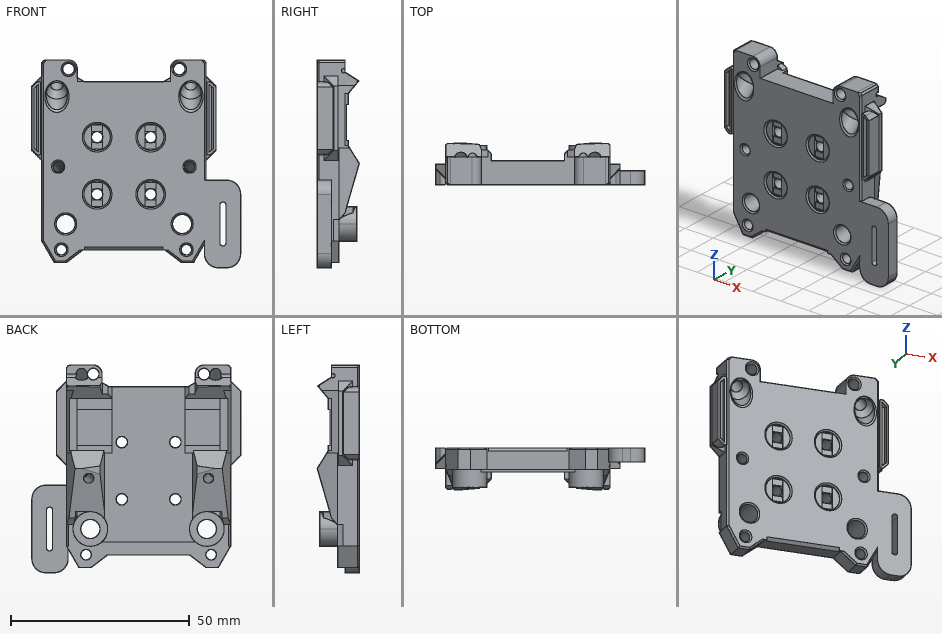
import cadquery as cq
import math


half_width = 23.0
top_z = 29.66
notch_half_width = 13.0
notch_z = 23.57
shoulder_z = -21.05
leg_end_z = -27.13
leg_outer_x = 19.5
leg_inner_x = 16.1
bridge_half_width = 11.5
bridge_z = -23.6
bridge_chamfer = 0.9
tower_round = 2.6
corner_steps = ((21.7, top_z), (22.5, top_z - 0.2), (half_width, top_z - 0.8))
edge_chamfer = 0.5
leg_depth = 6.1
middle_depth = 6.8
middle_half_width = 15.0
middle_bottom_z = -20.0
tower_depth = 7.8
tower_bottom_z = 20.0
relief_radius = 0.6
relief_y = 7.4
relief_z = 26.6
relief_end_x = 18.0

rail_inner_x = 10.2
rail_step_x = 20.0
rail_depth = 8.25
pad_depth = 8.7
rail_bottom_z = 4.9
rail_top_z = 22.4
lower_pad_top_z = 7.1
upper_pad_bottom_z = 17.08
peak_y = 11.8
hook_root_y = 8.0
hook_root_z = 26.06
hook_foot_z = 20.2
hook_peak_y = 11.65
hook_peak_z = 23.74
hook_edge_chamfer = 0.5
inner_ridge_x = 13.6
inner_ridge_y = 11.35
inner_foot_x = 12.3
inner_foot_y = 8.2
web_z = 24.65
web_end_x = 11.1
web_y = 9.8
hump_outer_x = 20.6
hump_flat_x = 18.7
hump_start_z = 5.6
hump_peak_z = 0.62
hump_end_z = -13.2
taper_start_y = 6.15
leg_taper_start_y = 4.6
leg_taper_top_z = -15.1

boss_radius = 4.85
boss_web_foot_x = 21.0
boss_web_shoulder_x = 20.0
boss_web_shoulder_y = 10.0
boss_depth = 11.08
lower_hole_x = 16.3
lower_hole_z = -16.3
lower_hole_diameter = 5.3

hole_chamfer = 0.45
upper_corner_diameter = 3.2
lower_corner_diameter = 2.9
upper_corner_hole = (15.5, 27.06)
lower_corner_hole = (17.5, -23.5)
grid_x = 7.5
grid_z = 8.0
grid_bore_diameter = 7.4
grid_bore_depth = 0.6
grid_hole_diameter = 3.1
trap_step = 0.4
slant_hole_x = 18.4
slant_hole_z = -0.25
slant_hole_diameter = 2.8
slant_hole_direction = (-1.5, 10.0, -1.7)
slant_hole_lead = 0.2
screw_x = 18.75
screw_z = 19.37
screw_angle = 42.0
screw_bore_diameter = 6.0
screw_hole_diameter = 3.4
screw_bore_depth = 2.3
screw_cone_length = 2.3
screw_mouth_chamfer = 0.4
screw_overrun = 6.0

tab_inner_x = 22.5
tab_outer_x = 32.72
tab_half_height = 12.3
tab_depth = 4.0
tab_round = 4.0
tab_slot_x = 27.73
tab_slot_width = 1.64
tab_slot_length = 12.24

wing_x = 25.8
wing_reach = wing_x - half_width
wing_z = 13.28
gusset_half_height = 11.78
gusset_depth = 5.85
gusset_root_y = 1.85
strip_outer_half_height = 8.7
strip_bevel_x = 24.6
strip_clearance = 0.2
strip_chamfer = 0.3
groove_outer_x = 25.15
groove_inner_x = 23.85
groove_mid_x = (groove_outer_x + groove_inner_x) / 2
groove_wall_depth = 1.3
groove_outer_half = 8.4
groove_inner_half = 9.5

through = 40.0


def prism_y(points, y0, y1):
    """Polygon in X and Z, extruded from y0 to y1."""
    return cq.Workplane("XZ", origin=(0, y0, 0)).polyline(points).close().extrude(y0 - y1)


def prism_z(points, z0, z1):
    """Polygon in X and Y, extruded from z0 to z1."""
    return cq.Workplane("XY", origin=(0, 0, z0)).polyline(points).close().extrude(z1 - z0)


def prism_x(points, x0, x1):
    """Polygon in Y and Z, extruded from x0 to x1."""
    return cq.Workplane("YZ", origin=(x0, 0, 0)).polyline(points).close().extrude(x1 - x0)


def block(x0, x1, y0, y1, z0, z1):
    return cq.Workplane("XY").box(x1 - x0, y1 - y0, z1 - z0, centered=False).translate((x0, y0, z0))


def round_bar(x, z, radius, y0, y1):
    return cq.Workplane("XZ", origin=(x, y0, z)).circle(radius).extrude(y0 - y1)


def hole_mouth(x, z, radius):
    """Cone that chamfers the front edge of a hole."""
    start = cq.Vector(x, 0, z)
    return cq.Workplane(
        cq.Solid.makeCone(radius + hole_chamfer, radius, hole_chamfer, start, cq.Vector(0, 1, 0))
    )


def chamfered_hole(x, z, diameter):
    """Through hole along Y with a chamfered mouth on the front face."""
    return round_bar(x, z, diameter / 2, 0, through).union(hole_mouth(x, z, diameter / 2))


def mirrored(body):
    return body.mirror("YZ")


def both_sides(body):
    return body.union(mirrored(body))


def make_plate():
    half = (
        cq.Workplane("XZ")
        .moveTo(0, notch_z)
        .lineTo(notch_half_width, notch_z)
        .lineTo(notch_half_width, top_z - tower_round)
        .radiusArc((notch_half_width + tower_round, top_z), tower_round)
    )
    for point in corner_steps:
        half = half.lineTo(*point)
    half = (
        half.lineTo(half_width, shoulder_z)
        .lineTo(leg_outer_x, leg_end_z)
        .lineTo(leg_inner_x, leg_end_z)
        .lineTo(bridge_half_width, bridge_z)
        .lineTo(0, bridge_z)
        .close()
        .extrude(-leg_depth)
    )
    plate = both_sides(half).clean()

    def is_outer_edge(edge):
        centre = edge.Center()
        on_side = abs(centre.x) > half_width - edge_chamfer
        on_leg = abs(centre.x) > bridge_half_width and centre.z < shoulder_z
        return on_side or on_leg

    plate = plate.faces("<Y").edges().filter(is_outer_edge).chamfer(edge_chamfer)
    bevel = [(0, bridge_z), (0, bridge_z + bridge_chamfer), (bridge_chamfer, bridge_z)]
    bevel_half_width = bridge_half_width - edge_chamfer
    plate = plate.cut(prism_x(bevel, -bevel_half_width, bevel_half_width))
    return plate.union(
        block(-middle_half_width, middle_half_width, 0, middle_depth, middle_bottom_z, notch_z)
        .edges("|X and <Y and <Z")
        .chamfer(edge_chamfer)
    )


def make_tower_back():
    """Thickens each tower up to its full depth, following the plate outline."""
    return (
        cq.Workplane("XZ", origin=(0, leg_depth, 0))
        .moveTo(notch_half_width, tower_bottom_z)
        .lineTo(notch_half_width, top_z - tower_round)
        .radiusArc((notch_half_width + tower_round, top_z), tower_round)
        .polyline(corner_steps, includeCurrent=True)
        .lineTo(half_width, tower_bottom_z)
        .close()
        .extrude(leg_depth - tower_depth)
    )


def make_rail():
    outer = block(rail_inner_x, half_width, leg_depth, tower_depth, rail_bottom_z, tower_bottom_z)
    inner = block(rail_inner_x, rail_step_x, leg_depth, rail_depth, rail_bottom_z, notch_z)
    lower_pad = block(rail_inner_x, rail_step_x, leg_depth, pad_depth, rail_bottom_z, lower_pad_top_z)
    upper_pad = block(rail_inner_x, rail_step_x, leg_depth, pad_depth, upper_pad_bottom_z, notch_z)
    return outer.union(inner).union(lower_pad).union(upper_pad)


def make_hook():
    side = [
        (leg_depth, hook_root_z),
        (hook_root_y, hook_root_z),
        (hook_peak_y, hook_peak_z),
        (pad_depth, hook_foot_z),
        (leg_depth, hook_foot_z),
    ]
    plan = [
        (half_width, leg_depth),
        (half_width, hook_peak_y - hook_edge_chamfer),
        (half_width - hook_edge_chamfer, hook_peak_y),
        (inner_ridge_x, inner_ridge_y),
        (inner_foot_x, inner_foot_y),
        (inner_foot_x, tower_depth),
        (notch_half_width, tower_depth),
        (notch_half_width, leg_depth),
    ]
    web_plan = [
        (inner_ridge_x, tower_depth),
        (rail_inner_x, tower_depth),
        (rail_inner_x, pad_depth),
        (rail_inner_x + web_y - pad_depth, web_y),
        (inner_ridge_x, web_y),
    ]
    front = [
        (half_width, top_z),
        (notch_half_width, top_z),
        (notch_half_width, web_z),
        (web_end_x, notch_z),
        (rail_inner_x, notch_z),
        (rail_inner_x, tower_bottom_z),
        (half_width, tower_bottom_z),
    ]
    sections = prism_z(plan, tower_bottom_z, top_z).union(prism_z(web_plan, tower_bottom_z, top_z))
    return (
        prism_x(side, rail_inner_x, half_width)
        .intersect(sections)
        .intersect(prism_y(front, leg_depth, hook_peak_y))
    )


def make_hump():
    side = [
        (leg_depth, hump_start_z),
        (pad_depth, hump_start_z),
        (peak_y, hump_peak_z),
        (tower_depth, hump_end_z),
        (leg_depth, leg_taper_top_z),
    ]
    plan = [
        (half_width, leg_depth),
        (hump_outer_x, peak_y),
        (hump_flat_x, peak_y),
        (inner_ridge_x, inner_ridge_y),
        (inner_foot_x, inner_foot_y),
        (inner_foot_x, leg_depth),
    ]
    return prism_x(side, inner_foot_x, half_width).intersect(prism_z(plan, leg_taper_top_z, rail_top_z))


def make_side_taper(start_y, z0, z1):
    """Material taken off the back outer edge, leaning inwards from start_y."""
    lean = (half_width - hump_outer_x) / (peak_y - taper_start_y)
    end_x = half_width - lean * (peak_y - start_y)
    return prism_z([(half_width, start_y), (half_width, peak_y), (end_x, peak_y)], z0, z1)


def make_gusset():
    outer_half_height = gusset_half_height - wing_reach
    front = [
        (half_width, wing_z - gusset_half_height),
        (wing_x, wing_z - outer_half_height),
        (wing_x, wing_z + outer_half_height),
        (half_width, wing_z + gusset_half_height),
    ]
    plan = [
        (half_width, gusset_root_y),
        (wing_x, gusset_root_y + wing_reach),
        (wing_x, gusset_depth),
        (half_width, gusset_depth),
    ]
    return prism_y(front, 0, gusset_depth).intersect(
        prism_z(plan, wing_z - gusset_half_height, wing_z + gusset_half_height)
    )


def make_boss():
    """Round boss with a web that runs up from its axis and leans like the hump side."""
    web = [
        (lower_hole_x, leg_depth),
        (boss_web_foot_x, leg_depth),
        (boss_web_shoulder_x, boss_web_shoulder_y),
        (lower_hole_x, boss_depth),
    ]
    boss = round_bar(lower_hole_x, lower_hole_z, boss_radius, leg_depth, boss_depth)
    return boss.union(prism_z(web, lower_hole_z + boss_radius / 4, lower_hole_z + boss_radius))


def make_tab():
    tab = block(
        tab_inner_x, tab_outer_x, 0, tab_depth, lower_hole_z - tab_half_height, lower_hole_z + tab_half_height
    )
    tab = tab.edges("|Y and >X").fillet(tab_round).edges("|Y and <X and <Z").fillet(tab_round)
    slot = (
        cq.Workplane("XZ", origin=(tab_slot_x, 0, lower_hole_z))
        .slot2D(tab_slot_length, tab_slot_width, 90)
        .extrude(-tab_depth)
    )
    return tab.cut(slot)


def make_grid_hole(x, z):
    """Bore with a slot and a square stepped below it, then a round through hole."""
    half = grid_hole_diameter / 2
    bore_radius = grid_bore_diameter / 2
    half_chord = math.sqrt(bore_radius**2 - half**2)
    slot_depth = grid_bore_depth + trap_step
    return (
        round_bar(x, z, bore_radius, 0, grid_bore_depth)
        .union(hole_mouth(x, z, bore_radius))
        .union(block(x - half, x + half, 0, slot_depth, z - half_chord, z + half_chord))
        .union(block(x - half, x + half, 0, slot_depth + trap_step, z - half, z + half))
        .union(round_bar(x, z, half, 0, through))
    )


def make_screw_hole():
    """Tilted screw hole: bore, cone and clearance hole turned about one axis."""
    bore = screw_bore_diameter / 2
    hole = screw_hole_diameter / 2
    cone_end = screw_bore_depth + screw_cone_length
    profile = [
        (0, -screw_overrun),
        (bore, -screw_overrun),
        (bore, screw_bore_depth),
        (hole, cone_end),
        (hole, through),
        (0, through),
    ]
    screw = (
        cq.Workplane("XY")
        .polyline(profile)
        .close()
        .revolve(360, (0, 0, 0), (0, 1, 0))
        .rotate((0, 0, 0), (1, 0, 0), screw_angle)
        .translate((screw_x, 0, screw_z))
    )
    stretch = 1 / math.cos(math.radians(screw_angle))
    mouth = (
        cq.Workplane("XZ", origin=(screw_x, 0, screw_z))
        .ellipse(bore + screw_mouth_chamfer, bore * stretch + screw_mouth_chamfer)
        .workplane(offset=-screw_mouth_chamfer)
        .center(0, screw_mouth_chamfer * math.tan(math.radians(screw_angle)))
        .ellipse(bore, bore * stretch)
        .loft()
    )
    return screw.union(mouth)


def make_slant_hole():
    start = cq.Vector(slant_hole_x, 0, slant_hole_z)
    direction = cq.Vector(*slant_hole_direction)
    radius = slant_hole_diameter / 2
    bar = cq.Solid.makeCylinder(radius, through, start - direction * slant_hole_lead, direction)
    return cq.Workplane(bar).union(hole_mouth(slant_hole_x, slant_hole_z, radius))


def make_housing():
    housing = make_plate()
    for feature in (make_tower_back(), make_rail(), make_hook(), make_hump()):
        housing = housing.union(both_sides(feature))
    tapers = make_side_taper(taper_start_y, leg_taper_top_z, rail_top_z).union(
        make_side_taper(leg_taper_start_y, shoulder_z, leg_taper_top_z)
    )
    tapers = tapers.union(make_side_taper(gusset_depth, rail_bottom_z, rail_top_z))
    relief = (
        cq.Workplane("YZ", origin=(relief_end_x, relief_y, relief_z))
        .circle(relief_radius)
        .extrude(half_width - relief_end_x)
    )
    housing = housing.cut(both_sides(tapers)).cut(both_sides(relief))
    housing = housing.union(both_sides(make_boss())).union(both_sides(make_gusset())).union(make_tab())

    cutters = [
        make_screw_hole(),
        make_slant_hole(),
        chamfered_hole(lower_hole_x, lower_hole_z, lower_hole_diameter),
        chamfered_hole(*upper_corner_hole, upper_corner_diameter),
        chamfered_hole(*lower_corner_hole, lower_corner_diameter),
        make_grid_hole(grid_x, grid_z),
        make_grid_hole(grid_x, -grid_z),
    ]
    for cutter in cutters:
        housing = housing.cut(cutter).cut(mirrored(cutter))
    return housing


def make_strip():
    """Strip on the +X side: bevelled ends, sloped back under the gusset, groove with a V floor in front."""
    rise = strip_outer_half_height + wing_x - strip_bevel_x
    end_radius = (strip_bevel_x - half_width) / math.sqrt(2)
    front = (
        cq.Workplane("XZ")
        .moveTo(half_width, wing_z - rise)
        .lineTo(half_width, wing_z + rise)
        .radiusArc((strip_bevel_x, wing_z + rise), end_radius)
        .lineTo(wing_x, wing_z + strip_outer_half_height)
        .lineTo(wing_x, wing_z - strip_outer_half_height)
        .lineTo(strip_bevel_x, wing_z - rise)
        .radiusArc((half_width, wing_z - rise), end_radius)
        .close()
        .extrude(-gusset_depth)
    )
    plan = [
        (half_width + strip_chamfer, 0),
        (wing_x, 0),
        (wing_x, gusset_root_y + wing_reach - strip_clearance),
        (half_width, gusset_root_y - strip_clearance),
        (half_width, strip_chamfer),
    ]
    strip = front.intersect(prism_z(plan, wing_z - gusset_half_height, wing_z + gusset_half_height))
    groove_front = [
        (groove_outer_x, wing_z - groove_outer_half),
        (groove_outer_x, wing_z + groove_outer_half),
        (groove_inner_x, wing_z + groove_inner_half),
        (groove_inner_x, wing_z - groove_inner_half),
    ]
    groove_plan = [
        (groove_outer_x, 0),
        (groove_outer_x, groove_wall_depth),
        (groove_mid_x, groove_wall_depth + groove_outer_x - groove_mid_x),
        (groove_inner_x, groove_wall_depth),
        (groove_inner_x, 0),
    ]
    groove = prism_y(groove_front, 0, gusset_depth).intersect(
        prism_z(groove_plan, wing_z - gusset_half_height, wing_z + gusset_half_height)
    )
    return strip.cut(groove)


housing = make_housing()
right_strip = make_strip()
left_strip = mirrored(right_strip)
result = cq.Compound.makeCompound([housing.val(), right_strip.val(), left_strip.val()])